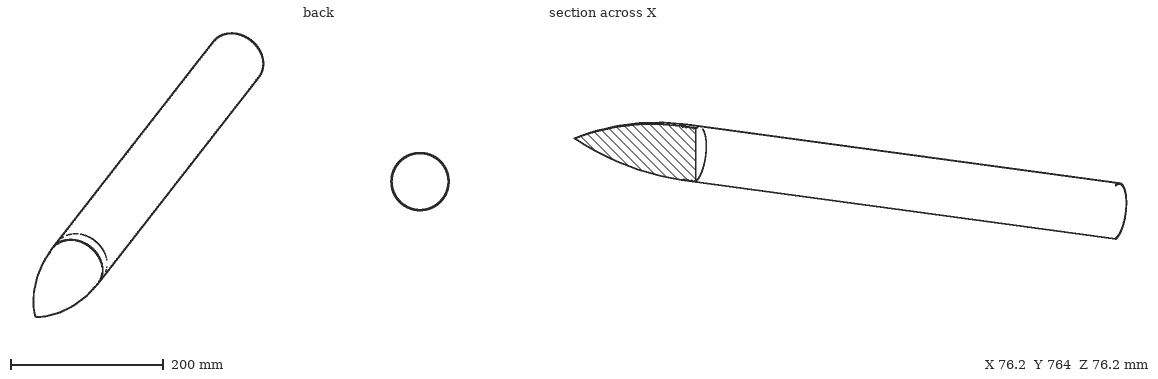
import cadquery as cq
import math

outer_diameter = 76.2
overall_length = 763.95
nose_length = 2 * outer_diameter
tube_bore_diameter = 73.82

shoulder_diameter = 73.66
shoulder_length = outer_diameter / 4

outer_radius = outer_diameter / 2
tube_length = overall_length - nose_length
seam_y = nose_length

ogive_radius = (outer_radius**2 + nose_length**2) / (2 * outer_radius)


def ogive_profile_radius(distance_from_seam):
    """Radius of the nose at a distance in front of the seam."""
    return math.sqrt(ogive_radius**2 - distance_from_seam**2) + outer_radius - ogive_radius


def build_tube():
    """Plain open tube from the seam to the rear end."""
    return (
        cq.Workplane("XZ", origin=(0, overall_length, 0))
        .circle(outer_radius)
        .circle(tube_bore_diameter / 2)
        .extrude(tube_length)
    )


def build_nose():
    """Pointed ogive with a shoulder that plugs into the tube."""
    shoulder_radius = shoulder_diameter / 2
    shoulder_end_y = seam_y + shoulder_length
    arc_middle = (ogive_profile_radius(nose_length / 2), nose_length / 2)
    return (
        cq.Workplane("XY")
        .threePointArc(arc_middle, (outer_radius, seam_y))
        .lineTo(shoulder_radius, seam_y)
        .lineTo(shoulder_radius, shoulder_end_y)
        .lineTo(0, shoulder_end_y)
        .close()
        .revolve(360, (0, 0, 0), (0, 1, 0))
    )


tube = build_tube()
nose = build_nose()

result = cq.Compound.makeCompound([tube.val(), nose.val()])